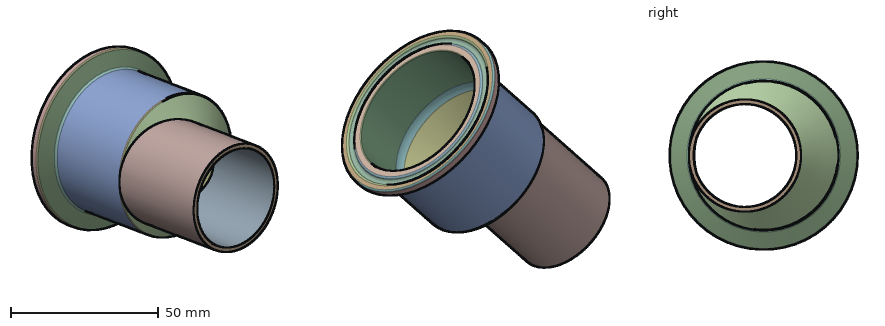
import cadquery as cq
import math

length = 76.2
large_radius = 50.8 / 2
large_bore_radius = 47.5 / 2
small_radius = 38.1 / 2
small_bore_radius = 34.8 / 2
small_tube_y = small_radius - large_radius

flange_radius = 63.9 / 2
rim_width = 3.1
flange_back_angle = 20.0
flange_rounding = 0.6
neck_rounding = 0.9
bore_mouth_rounding = 0.3

groove_radius = 28.0
groove_half_width = 1.8
groove_lip_rounding = 0.85
groove_arc_half_width = 1.1

cone_start = 38.1
cone_end = 48.2
cone_tip_radius = small_tube_y + small_radius
outer_shoulder_rounding = 0.6

inner_cone_start = 22.25
inner_cone_end = 44.95
inner_tip_radius = small_tube_y + small_bore_radius
inner_shoulder_rounding = 7.0


def rounded_corner(before, corner, after, rounding):
    """Return start, middle and end of the arc that rounds a corner."""
    corner = cq.Vector(*corner)
    back = (cq.Vector(*before) - corner).normalized()
    ahead = (cq.Vector(*after) - corner).normalized()
    half_angle = back.getAngle(ahead) / 2
    setback = rounding / math.tan(half_angle)
    apex_gap = rounding / math.sin(half_angle) - rounding
    middle = corner + (back + ahead).normalized() * apex_gap
    points = (corner + back * setback, middle, corner + ahead * setback)
    return [(point.x, point.y) for point in points]


def turned(corners):
    """Revolve an outline of (x, radius, rounding) corners about the X axis."""
    points = [(x, radius) for x, radius, _ in corners]
    profile = cq.Workplane("XY").moveTo(*points[0])
    for i in range(1, len(corners)):
        rounding = corners[i][2]
        if rounding:
            start, middle, end = rounded_corner(points[i - 1], points[i], points[i + 1], rounding)
            profile = profile.lineTo(*start).threePointArc(middle, end)
        else:
            profile = profile.lineTo(*points[i])
    return profile.close().revolve(360, (0, 0, 0), (1, 0, 0))


def small_cylinder(radius, start):
    """Cylinder on the small tube's axis, from start to the +X end."""
    return cq.Workplane("YZ", origin=(start, small_tube_y, 0)).circle(radius).extrude(length - start)


def outer_body():
    neck_x = rim_width + (flange_radius - large_radius) * math.tan(math.radians(flange_back_angle))
    body = turned([
        (0, 0, 0),
        (0, flange_radius, flange_rounding),
        (rim_width, flange_radius, flange_rounding),
        (neck_x, large_radius, neck_rounding),
        (cone_start, large_radius, outer_shoulder_rounding),
        (cone_end, cone_tip_radius, 0),
        (cone_end, 0, 0),
    ])
    return body.union(small_cylinder(small_radius, cone_start))


def bore():
    large_bore = turned([
        (0, 0, 0),
        (0, large_bore_radius, 0),
        (inner_cone_start, large_bore_radius, inner_shoulder_rounding),
        (inner_cone_end, inner_tip_radius, 0),
        (inner_cone_end, 0, 0),
    ])
    return large_bore.union(small_cylinder(small_bore_radius, inner_cone_start))


def gasket_groove():
    """Ring with a round bottom that runs tangent into rounded lips at the face."""
    lip_angle = math.asin((groove_half_width - groove_arc_half_width) / groove_lip_rounding)
    arc_radius = groove_arc_half_width / math.sin(lip_angle)
    lip_depth = groove_lip_rounding * (1 - math.cos(lip_angle))
    depth = lip_depth + arc_radius * (1 - math.cos(lip_angle))
    lip_mid_depth = groove_lip_rounding * (1 - math.cos(lip_angle / 2))
    lip_mid_offset = groove_half_width - groove_lip_rounding * math.sin(lip_angle / 2)
    profile = (
        cq.Workplane("XY")
        .moveTo(0, groove_radius - groove_half_width)
        .threePointArc(
            (lip_mid_depth, groove_radius - lip_mid_offset),
            (lip_depth, groove_radius - groove_arc_half_width),
        )
        .threePointArc((depth, groove_radius), (lip_depth, groove_radius + groove_arc_half_width))
        .threePointArc(
            (lip_mid_depth, groove_radius + lip_mid_offset),
            (0, groove_radius + groove_half_width),
        )
        .close()
    )
    return profile.revolve(360, (0, 0, 0), (1, 0, 0))


smallest_circle = cq.selectors.RadiusNthSelector(0)
reducer = outer_body().cut(bore())
reducer = reducer.faces("<X").edges(smallest_circle).fillet(bore_mouth_rounding)
result = reducer.cut(gasket_groove())